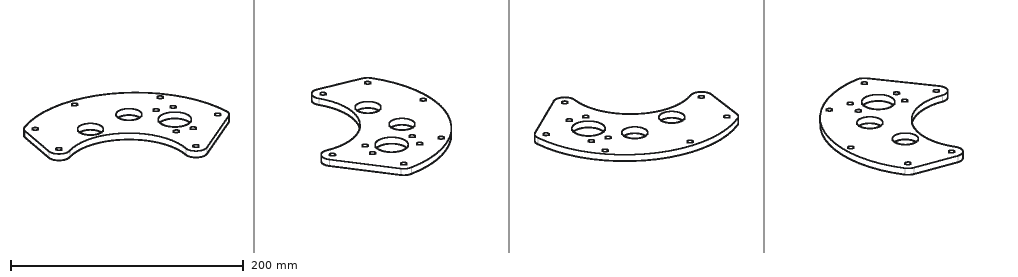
import cadquery as cq
import math

thickness = 6.3
corner_radius = 9.8
outer_radius = 101.8
inner_radius = 55.2

half_length = 80.7
right_x = half_length - corner_radius
upper_right = cq.Vector(right_x, 44.5)
lower_right = cq.Vector(right_x, -19.0)
upper_left = cq.Vector(-right_x, -27.9)
lower_left = cq.Vector(-40.0, -59.0)

small_diameter = 5.2
rim_holes = [(13.9, 61.8), (-52.5, 27.0)]
medium_diameter = 22.3
medium_holes = [(-2.1, 22.3), (-25.3, -14.7)]
large_diameter = 28.5
large_hole = cq.Vector(38.4, 24.5)
satellite_center = cq.Vector(38.0, 25.2)
satellite_offsets = [cq.Vector(-8.2, 22.1), cq.Vector(-20.3, 12.0)]


def arc_center(start, end, distance):
    """Point at the given distance from both ends, below the upward-right chord from start to end."""
    chord = end - start
    height = math.sqrt(distance**2 - (chord.Length / 2) ** 2)
    normal = cq.Vector(chord.y, -chord.x).normalized()
    return (start + end) * 0.5 + normal * height


def toward(start, target, distance):
    """Point at the given distance from start in the direction of target."""
    return start + (target - start).normalized() * distance


def plate():
    outer_center = arc_center(upper_left, upper_right, outer_radius - corner_radius)
    inner_center = arc_center(lower_left, lower_right, inner_radius + corner_radius)
    outer_start = toward(outer_center, upper_left, outer_radius)
    outer_end = toward(outer_center, upper_right, outer_radius)
    outer_middle = toward(outer_center, outer_start + outer_end - outer_center, outer_radius)
    inner_start = toward(inner_center, lower_right, inner_radius)
    inner_end = toward(inner_center, lower_left, inner_radius)
    inner_middle = toward(inner_center, inner_start + inner_end - inner_center, inner_radius)

    right_offset = cq.Vector(corner_radius, 0)
    left_edge = lower_left - upper_left
    left_offset = cq.Vector(left_edge.y, -left_edge.x).normalized() * corner_radius

    outline = (
        cq.Workplane("XY")
        .moveTo(outer_start.x, outer_start.y)
        .threePointArc(outer_middle, outer_end)
        .tangentArcPoint(upper_right + right_offset, relative=False)
        .lineTo(right_x + corner_radius, lower_right.y)
        .threePointArc(lower_right - cq.Vector(0, corner_radius), inner_start)
        .threePointArc(inner_middle, inner_end)
        .threePointArc(lower_left - cq.Vector(0, corner_radius), lower_left + left_offset)
        .lineTo(*(upper_left + left_offset).toTuple()[:2])
        .threePointArc(upper_left - cq.Vector(corner_radius, 0), outer_start)
        .close()
    )
    return outline.extrude(thickness)


def drill(body, centers, diameter):
    cutters = cq.Workplane("XY").pushPoints(centers).circle(diameter / 2).extrude(thickness)
    return body.cut(cutters)


corner_holes = [upper_right, lower_right, upper_left, lower_left]
satellite_holes = [satellite_center + offset * side for offset in satellite_offsets for side in (1, -1)]

result = plate()
result = drill(result, corner_holes + rim_holes + satellite_holes, small_diameter)
result = drill(result, medium_holes, medium_diameter)
result = drill(result, [large_hole], large_diameter)